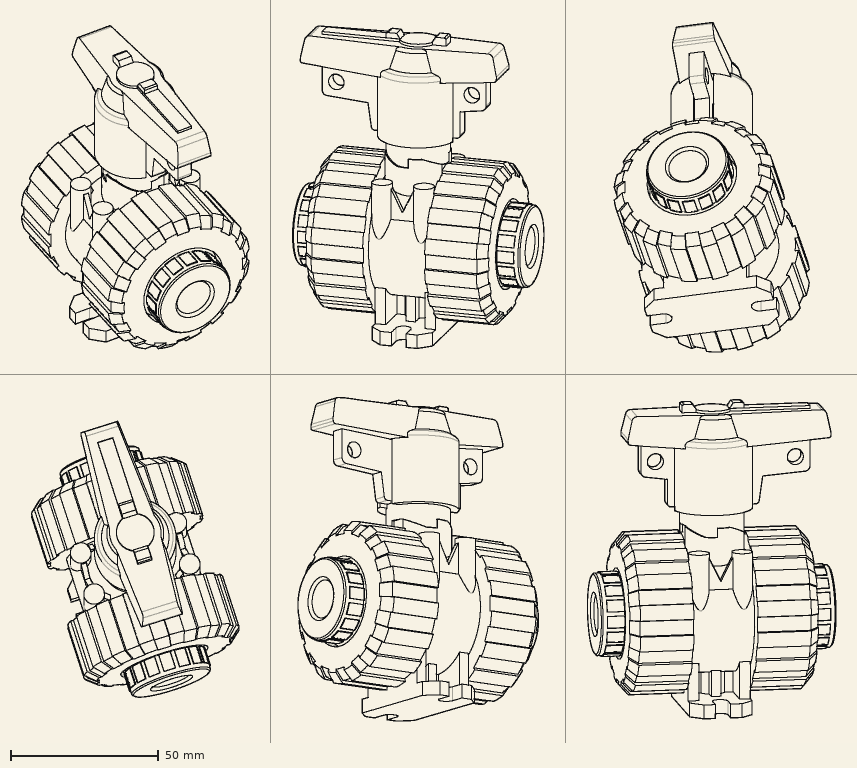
import cadquery as cq


nut_inner_x = 11.0
nut_outer_x = 32.5
nut_chamfer_length = 3.0
nut_chamfer_depth = 3.5
nut_valley_radius = 26.7
nut_rib_radius = 27.8
nut_rib_count = 16
nut_rib_angle = 180 / nut_rib_count
nut_mouth_radius = 31.0 / 2
nut_lip_thickness = 4.2
nut_lip_x = nut_outer_x - nut_lip_thickness

body_radius = 42.0 / 2
body_half_length = 23.1
bore_radius = 13.0 / 2

connector_end_x = 40.5
connector_radius = 14.1
connector_rim_chamfer = 0.5
bore_mouth_radius = 15.0 / 2
pad_count = 16
pad_angle = 16.5
pad_height = 0.37
pad_radius = connector_radius + pad_height
pad_end_x = 38.5

neck_radius = 11.5
neck_flat_x = 20.3 / 2
crown_low_z = 27.5
crown_high_z = 30.6
ramp_high_offset = 3.9
ramp_low_offset = 4.6
crown_base_z = 26.3

post_radius = 7.0 / 2
post_x = 7.5
post_y = 17.0
post_top_z = 23.5
web_thickness = 1.9
web_notch_z = 13.7
web_slope = 2.0
brace_angle = 20
brace_reach = 5.8

foot_bottom_z = -33.0
foot_thickness = 4.8
foot_half_x = 21.6 / 2
foot_half_y = 22.0
foot_corner = 4.2
foot_slot_radius = 2.6
foot_slot_y = 16.5
leg_inner_x = 7.0
leg_half_y = 14.4
column_radius = 4.5
foot_rib_half_x = 3.3 / 2
foot_rib_half_y = 8.4
cross_wall_half_y = 1.9
foot_top_z = foot_bottom_z + foot_thickness

skirt_radius = 22.0 / 2
skirt_top_z = 47.5
hub_radius = 13.9
hub_bottom_z = 35.7
hub_straight_z = 58.8
hub_round = (13.6, 59.9)
hub_shoulder = (12.8, 60.6)
hub_slot_width = 7.0
cone_base_z = 61.4
cone_base_radius = 11.5
cone_top_radius = 9.7
cone_top_z = 67.9
cone_round = (9.4, 68.9)
cone_flat_radius = 8.7

lever_top_z = 69.3
lever_land_z = 61.6
lever_end_z = 59.7
lever_mid_z = 58.1
lever_mid_x = 10.7
lever_left_top_x = -28.3
lever_left_x = -30.1
lever_right_top_x = 38.4
lever_right_x = 40.0
lever_top_fillet = 1.9
lever_low_fillet = 0.8
lever_plan_left = -30.5
lever_plan_right = 41.0
lever_top_half_widths = (6.0, 8.2, 5.5)
lever_low_half_widths = (7.6, 9.7, 6.8)

plate_thickness = 5.2
plate_left_x = -24.9
plate_right_x = 33.4
plate_step_z = 46.4
plate_tip_z = 47.6
plate_bottom_z = 36.8
plate_step_left_x = -15.8
plate_step_right_x = 17.1
plate_foot_right_x = 15.8
plate_low_fillet = 1.3
plate_tip_fillet = 1.9
plate_hole_radius = 5.5 / 2
plate_hole_z = 52.7
plate_hole_xs = (-19.9, 28.4)

cap_radius = 6.4
cap_top_z = 70.3
block_top_z = 72.1
block_outer_x = 10.7
block_top_inner_x = 6.9
block_inner_x = 5.7
block_width = 5.0
block_chamfer_length = 0.7
block_chamfer_drop = 0.3
pointer_width = 5.4


def box(x0, x1, y0, y1, z0, z1):
    """Axis-aligned box between two opposite corners."""
    return cq.Workplane("XY").box(x1 - x0, y1 - y0, z1 - z0, centered=False).translate((x0, y0, z0))


def cylinder_z(radius, z0, z1, x=0.0, y=0.0):
    """Upright cylinder between two heights."""
    return cq.Workplane("XY", origin=(x, y, z0)).circle(radius).extrude(z1 - z0)


def cylinder_x(radius, x0, x1):
    """Cylinder along the flow axis."""
    return cq.Workplane("YZ", origin=(x0, 0, 0)).circle(radius).extrude(x1 - x0)


def revolve_x(points, angle=360.0):
    """Revolve an (x, radius) outline about the flow axis."""
    return cq.Workplane("XY").polyline(points).close().revolve(angle, (0, 0, 0), (1, 0, 0))


def prism_y(points, width):
    """Extrude an (x, z) outline to both sides of the plane y = 0."""
    return cq.Workplane("XZ").polyline(points).close().extrude(width / 2, both=True)


def fillet_y_edges(solid, z, radius):
    """Round all edges that run along Y at the given height."""
    reach = connector_end_x
    margin = 0.1
    at_height = cq.selectors.BoxSelector((-reach, -reach, z - margin), (reach, reach, z + margin))
    return solid.edges("|Y").edges(at_height).fillet(radius)


def both_ends(solid):
    """The +X part and its mirror image at the -X end."""
    return [solid, solid.mirror("YZ")]


def nut_outline(outer_radius):
    """Half section of a nut whose rim has the given radius."""
    return [
        (nut_inner_x, body_radius),
        (nut_inner_x, outer_radius),
        (nut_outer_x - nut_chamfer_length, outer_radius),
        (nut_outer_x, outer_radius - nut_chamfer_depth),
        (nut_outer_x, nut_mouth_radius),
        (nut_lip_x, nut_mouth_radius),
        (nut_lip_x, body_radius),
    ]


def make_nut():
    nut = revolve_x(nut_outline(nut_valley_radius))
    rib = revolve_x(nut_outline(nut_rib_radius), nut_rib_angle)
    for i in range(nut_rib_count):
        nut = nut.union(rib.rotate((0, 0, 0), (1, 0, 0), (2 * i + 0.5) * nut_rib_angle))
    return nut


def make_connector():
    connector = revolve_x([
        (body_half_length, bore_radius),
        (body_half_length, body_radius),
        (nut_lip_x, body_radius),
        (nut_lip_x, nut_mouth_radius),
        (nut_outer_x, connector_radius),
        (connector_end_x - connector_rim_chamfer, connector_radius),
        (connector_end_x, connector_radius - connector_rim_chamfer),
        (connector_end_x, bore_mouth_radius),
        (connector_end_x - (bore_mouth_radius - bore_radius), bore_radius),
    ])
    pad = revolve_x([
        (nut_outer_x, bore_mouth_radius),
        (nut_outer_x, pad_radius),
        (pad_end_x, pad_radius),
        (pad_end_x, bore_mouth_radius),
    ], pad_angle)
    for i in range(pad_count):
        turn = i * 360 / pad_count - pad_angle / 2
        connector = connector.union(pad.rotate((0, 0, 0), (1, 0, 0), turn))
    return connector


def make_crown():
    """Four ramps round the stem, one per quadrant, each with a drop to the next."""
    reach = 2 * neck_radius
    outline = [
        (-reach, crown_base_z),
        (reach, crown_base_z),
        (reach, crown_high_z),
        (ramp_high_offset, crown_high_z),
        (-ramp_low_offset, crown_low_z),
        (-reach, crown_low_z),
    ]
    quadrant = box(0, reach, 0, reach, crown_base_z, crown_high_z)
    ramp = cq.Workplane("XZ").polyline(outline).close().extrude(-reach)
    ramp = ramp.rotate((0, 0, 0), (0, 0, 1), -45).intersect(quadrant)
    crown = ramp
    for i in range(1, 4):
        crown = crown.union(ramp.rotate((0, 0, 0), (0, 0, 1), 90 * i))
    return crown


def make_foot():
    foot = box(-foot_half_x, foot_half_x, -foot_half_y, foot_half_y, foot_bottom_z, foot_top_z)
    foot = foot.edges("|Z").chamfer(foot_corner)
    for side in (-1, 1):
        foot = foot.cut(cylinder_z(foot_slot_radius, foot_bottom_z, foot_top_z, 0, side * foot_slot_y))
        slot_y = sorted((side * foot_slot_y, side * foot_half_y))
        foot = foot.cut(box(-foot_slot_radius, foot_slot_radius, *slot_y, foot_bottom_z, foot_top_z))
        leg_x = sorted((side * leg_inner_x, side * foot_half_x))
        foot = foot.union(box(*leg_x, -leg_half_y, leg_half_y, foot_top_z, 0))
    foot = foot.union(box(-leg_inner_x, leg_inner_x, -cross_wall_half_y, cross_wall_half_y, foot_top_z, 0))
    rib = box(-foot_rib_half_x, foot_rib_half_x, -foot_rib_half_y, foot_rib_half_y, foot_top_z, 0)
    foot = foot.union(rib)
    return foot.union(cylinder_z(column_radius, foot_top_z, 0))


def make_posts():
    web_top_z = web_notch_z + web_slope * (post_x - post_radius)
    web = prism_y([
        (-post_x, 0),
        (post_x, 0),
        (post_x, web_top_z),
        (post_x - post_radius, web_top_z),
        (0, web_notch_z),
        (post_radius - post_x, web_top_z),
        (-post_x, web_top_z),
    ], web_thickness)
    brace = prism_y([
        (0, 0),
        (0, web_top_z),
        (post_radius, web_top_z),
        (brace_reach, web_top_z - web_slope * (brace_reach - post_radius)),
        (brace_reach, 0),
    ], web_thickness)
    posts = web.translate((0, post_y, 0))
    for side in (-1, 1):
        turned_brace = brace.rotate((0, 0, 0), (0, 0, 1), -90 + side * brace_angle)
        posts = posts.union(turned_brace.translate((side * post_x, post_y, 0)))
        posts = posts.union(cylinder_z(post_radius, 0, post_top_z, side * post_x, post_y))
    return posts.union(posts.mirror("XZ"))


def make_body(crown):
    neck = cylinder_z(neck_radius, 0, crown_low_z)
    neck = neck.union(crown.intersect(cylinder_z(neck_radius, 0, crown_high_z)))
    neck = neck.intersect(box(-neck_flat_x, neck_flat_x, -neck_radius, neck_radius, 0, crown_high_z))
    body = cylinder_x(body_radius, -body_half_length, body_half_length)
    body = body.union(neck).union(make_posts()).union(make_foot())
    return body.cut(cylinder_x(bore_radius, -body_half_length, body_half_length))


def make_hub(crown):
    hub = (
        cq.Workplane("XZ")
        .moveTo(0, hub_bottom_z)
        .lineTo(hub_radius, hub_bottom_z)
        .lineTo(hub_radius, hub_straight_z)
        .threePointArc(hub_round, hub_shoulder)
        .lineTo(cone_base_radius, cone_base_z)
        .lineTo(cone_top_radius, cone_top_z)
        .threePointArc(cone_round, (cone_flat_radius, lever_top_z))
        .lineTo(0, lever_top_z)
        .close()
        .revolve(360, (0, 0, 0), (0, 1, 0))
    )
    half_slot = hub_slot_width / 2
    hub = hub.cut(box(-hub_radius, hub_radius, -half_slot, half_slot, hub_bottom_z, lever_mid_z))
    skirt = cylinder_z(skirt_radius, crown_low_z, skirt_top_z).cut(crown)
    return hub.union(skirt)


def make_lever():
    def plan(half_widths):
        stations = list(zip((lever_plan_left, 0.0, lever_plan_right), half_widths))
        return stations + [(x, -y) for x, y in reversed(stations)]

    blank = (
        cq.Workplane("XY", origin=(0, 0, lever_mid_z))
        .polyline(plan(lever_low_half_widths)).close()
        .workplane(offset=lever_top_z - lever_mid_z)
        .polyline(plan(lever_top_half_widths)).close()
        .loft(ruled=True)
    )
    side = prism_y([
        (lever_left_x, lever_land_z),
        (lever_left_x, lever_end_z),
        (-lever_mid_x, lever_mid_z),
        (lever_mid_x, lever_mid_z),
        (lever_right_x, lever_end_z),
        (lever_right_x, lever_land_z),
        (lever_right_top_x, lever_top_z),
        (lever_left_top_x, lever_top_z),
    ], 2 * hub_radius)
    side = fillet_y_edges(side, lever_top_z, lever_top_fillet)
    side = fillet_y_edges(side, lever_end_z, lever_low_fillet)
    return blank.intersect(side)


def make_plate():
    plate_top_z = (lever_mid_z + lever_top_z) / 2
    plate = prism_y([
        (plate_left_x, plate_top_z),
        (plate_left_x, plate_tip_z),
        (plate_step_left_x, plate_step_z),
        (plate_step_left_x, plate_bottom_z),
        (plate_foot_right_x, plate_bottom_z),
        (plate_step_right_x, plate_step_z),
        (plate_right_x, plate_tip_z),
        (plate_right_x, plate_top_z),
    ], plate_thickness)
    plate = fillet_y_edges(plate, plate_bottom_z, plate_low_fillet)
    plate = fillet_y_edges(plate, plate_tip_z, plate_tip_fillet)
    for x in plate_hole_xs:
        hole = cq.Workplane("XZ", origin=(x, 0, plate_hole_z)).circle(plate_hole_radius)
        plate = plate.cut(hole.extrude(plate_thickness, both=True))
    return plate


def make_marks():
    marks = cylinder_z(cap_radius, lever_top_z, cap_top_z)
    block = prism_y([
        (block_inner_x, lever_top_z),
        (block_outer_x, lever_top_z),
        (block_outer_x, block_top_z - block_chamfer_drop),
        (block_outer_x - block_chamfer_length, block_top_z),
        (block_top_inner_x, block_top_z),
        (block_inner_x, cap_top_z),
    ], block_width)
    marks = marks.union(block).union(block.mirror("YZ"))
    pointer = box(block_inner_x, plate_right_x, -pointer_width / 2, pointer_width / 2, lever_top_z, cap_top_z)
    return marks.union(pointer)


def make_handle(crown):
    return make_hub(crown).union(make_lever()).union(make_plate()).union(make_marks())


crown = make_crown()
body = make_body(crown)
handle = make_handle(crown)
nuts = both_ends(make_nut())
connectors = both_ends(make_connector())

result = cq.Compound.makeCompound(
    [body.val(), handle.val()] + [nut.val() for nut in nuts] + [c.val() for c in connectors]
)